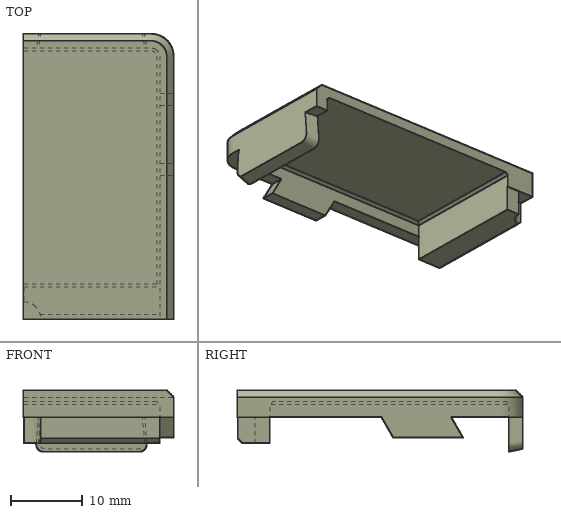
import cadquery as cq
import math


length_x = 21.2
length_y = 40.2
total_height = 8.71
skirt_depth = 3.8
outer_corner_radius = 3.2
top_chamfer = 1.0

wall = 2.0
front_wall = 4.6
ceiling = 1.6
ceiling_chamfer = 0.4

lip_bottom = 7.46
lip_side_setback = 0.1
lip_front_setback = 0.05
lip_chamfer = 0.65
notch_radius = 2.45

tab_width = 15.8
tab_side_lean = math.radians(5)
tab_side_taper = math.radians(9)
tab_slope = math.radians(12)
tab_fillet = 1.1

hook_bottom = 6.7
hook_tip_y = 31.8
hook_length = 9.85
hook_angle = math.radians(60)

pocket_right = length_x - wall
pocket_back = length_y - wall


def make_cover():
    cover = cq.Workplane("XY").box(length_x, length_y, skirt_depth, centered=False)
    cover = cover.translate((0, 0, -skirt_depth))
    cover = cover.edges("|Z and >X and >Y").fillet(outer_corner_radius)
    rim = cq.selectors.BoxSelector(
        (top_chamfer, top_chamfer, -top_chamfer / 2),
        (length_x + top_chamfer, length_y + top_chamfer, top_chamfer / 2),
    )
    return cover.faces(">Z").edges(rim).chamfer(top_chamfer)


def make_pocket():
    """Pocket through the -X side, bevelled where its walls meet the ceiling."""
    pocket_length = pocket_back - front_wall
    pocket = (
        cq.Workplane("XY", origin=(-wall, front_wall, -skirt_depth))
        .box(pocket_right + wall, pocket_length, skirt_depth - ceiling, centered=False)
    )
    pocket = pocket.edges("|Z and >X and >Y").fillet(outer_corner_radius - wall)
    return pocket.faces(">Z").chamfer(ceiling_chamfer)


def make_lip():
    """Set-back lip under the front wall, with a round notch in its left front corner."""
    lip_width = pocket_right - lip_side_setback
    lip_depth = front_wall - lip_front_setback
    lip_height = lip_bottom - skirt_depth
    lip = (
        cq.Workplane("XY", origin=(lip_side_setback, lip_front_setback, -lip_bottom))
        .box(lip_width, lip_depth, lip_height, centered=False)
    )
    lip = lip.edges("<Y and <Z").chamfer(lip_chamfer)
    notch = (
        cq.Workplane("XY", origin=(0, lip_front_setback, -lip_bottom))
        .circle(notch_radius)
        .extrude(lip_height)
    )
    return lip.cut(notch)


def tab_section(depth):
    """Outline of the tab at a given distance behind its inner face, widest at the bottom."""
    bottom = total_height - depth * math.tan(tab_slope)
    half_at_tip = tab_width / 2 - depth * math.tan(tab_side_taper)
    half_bottom = half_at_tip - (total_height - bottom) * math.tan(tab_side_lean)
    half_top = half_at_tip - (total_height - skirt_depth) * math.tan(tab_side_lean)
    corners = [
        (-half_top, -skirt_depth),
        (half_top, -skirt_depth),
        (half_bottom, -bottom),
        (-half_bottom, -bottom),
    ]
    section = cq.Workplane("XZ", origin=(pocket_right / 2, pocket_back + depth, 0))
    return section.polyline(corners).close().val()


def make_tab():
    """Tab under the rear wall; its bottom rises and its sides close in toward the back."""
    tab = cq.Workplane(cq.Solid.makeLoft([tab_section(0), tab_section(wall)], True))
    return tab.faces("<Z").edges("<X or >X").fillet(tab_fillet)


def make_hook():
    """Parallelogram under the right wall, leaning toward the back."""
    lean = (hook_bottom - skirt_depth) / math.tan(hook_angle)
    return (
        cq.Workplane("YZ", origin=(pocket_right, 0, 0))
        .moveTo(hook_tip_y, -hook_bottom)
        .lineTo(hook_tip_y - hook_length, -hook_bottom)
        .lineTo(hook_tip_y - hook_length - lean, -skirt_depth)
        .lineTo(hook_tip_y - lean, -skirt_depth)
        .close()
        .extrude(wall)
    )


result = make_cover().cut(make_pocket()).union(make_lip()).union(make_tab()).union(make_hook())